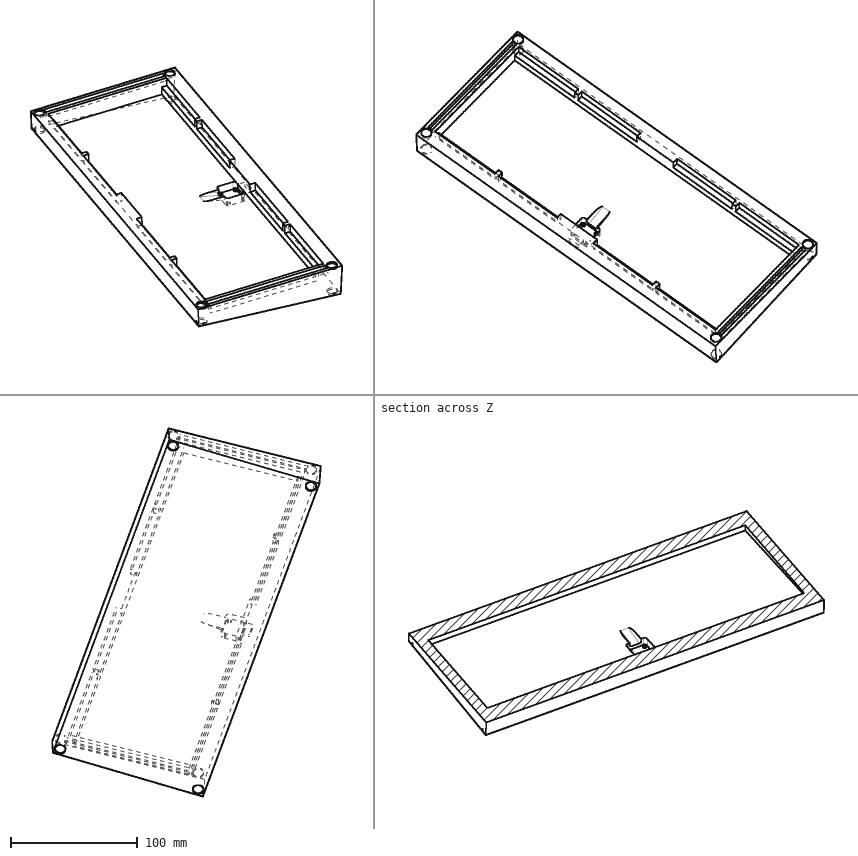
import cadquery as cq
import math

length = 306.0
depth = 126.0
back_height = 26.5
top_slope = 2.0
bottom_slope = 2.6
back_inset = 1.2
front_inset = 0.5

side_wall = 9.8
tray_length = length - 2 * side_wall
tray_back = 46.5
tray_front = -48.0
tray_depth = 14.5

ledge_width = 4.5
ledge_depth = 7.5
outer_ledge_end = tray_length / 2
outer_ledge_start = 82.5
inner_ledge_end = 78.7
inner_ledge_start = 18.7

magnet_diameter = 8.3
magnet_depth = 1.5
magnet_x = length / 2 - side_wall / 2
magnet_back = 56.3
magnet_front = -58.0
groove_width = 4.0
groove_depth = 4.5
groove_back = 51.5
groove_front = -53.0

board_length = 18.5
board_front = 30.0
board_back = tray_back
board_depth = 7.0
board_corner_radius = 2.3
boss_x = 6.9
boss_front = 32.5
boss_back = 45.5
boss_diameter = 3.5
boss_hole_diameter = 2.2
boss_height = 1.2

socket_width = 9.8
socket_height = 4.3
socket_length = 6.0

ramp_width = 10.5
ramp_front = 12.5
ramp_angle = 13.0
ramp_tool_height = 6.0

channel_edge_radius = 1.8

open_top = 3.0

back_y = depth / 2
front_y = -depth / 2


def sloped_plane(z_middle, slope):
    """Plane along X whose Y direction climbs toward the back by slope degrees."""
    angle = math.radians(slope)
    return cq.Plane((0, 0, z_middle), (1, 0, 0), (0, -math.sin(angle), math.cos(angle)))


def shifted(plane, offset):
    """The plane moved by an offset along its own directions."""
    return cq.Plane(plane.toWorldCoords(offset), plane.xDir, plane.zDir)


top_plane = sloped_plane(back_height - back_y * math.tan(math.radians(top_slope)), top_slope)
bottom_plane = sloped_plane((back_y - back_inset) * math.tan(math.radians(bottom_slope)), -bottom_slope)
floor_plane = shifted(top_plane, (0, 0, -tray_depth))


def block(plane, x_range, y_range, z_range):
    """Box given by its extents in the plane's own directions."""
    size = [high - low for low, high in (x_range, y_range, z_range)]
    corner = (x_range[0], y_range[0], z_range[0])
    return cq.Workplane(shifted(plane, corner)).box(*size, centered=False)


def wedge():
    front_top = back_height - depth * math.tan(math.radians(top_slope))
    bottom_run = depth - back_inset - front_inset
    front_bottom = bottom_run * math.tan(math.radians(bottom_slope))
    outline = [
        (back_y, back_height),
        (back_y - back_inset, 0),
        (front_y + front_inset, front_bottom),
        (front_y, front_top),
    ]
    return cq.Workplane("YZ").polyline(outline).close().extrude(length / 2, both=True)


def tray():
    x_limits = (-tray_length / 2, tray_length / 2)
    cut = block(top_plane, x_limits, (tray_front, tray_back), (-tray_depth, open_top))
    spans = [(inner_ledge_start, inner_ledge_end), (outer_ledge_start, outer_ledge_end)]
    for start, end in spans:
        for x_range in [(start, end), (-end, -start)]:
            y_range = (tray_front - ledge_width, tray_back + ledge_width)
            cut = cut.union(block(top_plane, x_range, y_range, (-ledge_depth, open_top)))
    return cut


def magnets(plane, direction):
    points = [(x, y) for x in (-magnet_x, magnet_x) for y in (magnet_front, magnet_back)]
    circles = cq.Workplane(plane).pushPoints(points).circle(magnet_diameter / 2)
    return circles.extrude(direction * magnet_depth)


def groove(x):
    x_range = (x - groove_width / 2, x + groove_width / 2)
    return block(top_plane, x_range, (groove_front, groove_back), (-groove_depth, open_top))


def board_recess():
    x_range = (-board_length / 2, board_length / 2)
    recess = block(floor_plane, x_range, (board_front, board_back), (-board_depth, 0))
    recess = recess.edges(cq.selectors.ParallelDirSelector(floor_plane.zDir)).fillet(board_corner_radius)
    bosses = (
        cq.Workplane(floor_plane)
        .workplane(offset=-board_depth)
        .pushPoints([(x, y) for x in (-boss_x, boss_x) for y in (boss_front, boss_back)])
        .circle(boss_diameter / 2)
        .circle(boss_hole_diameter / 2)
        .extrude(boss_height)
    )
    return recess.cut(bosses)


def round_bottomed_channel(plane, width, y_range, height):
    """Channel along the plane's Y direction, standing on the plane, with rounded lower edges."""
    channel = block(plane, (-width / 2, width / 2), y_range, (0, height))
    lengthwise = cq.selectors.ParallelDirSelector(plane.yDir)
    return channel.edges(lengthwise).edges("<Z").fillet(channel_edge_radius)


def socket_pocket():
    plane = shifted(floor_plane, (0, 0, -socket_height))
    y_range = (board_back - board_corner_radius, board_back + socket_length)
    return round_bottomed_channel(plane, socket_width, y_range, socket_height)


def plug_ramp():
    """Tilted channel that runs out at the tray floor."""
    start = floor_plane.toWorldCoords((0, ramp_front, 0))
    tilted = sloped_plane(0, top_slope - ramp_angle)
    plane = cq.Plane(start, tilted.xDir, tilted.zDir)
    run = (board_front - ramp_front) / math.cos(math.radians(ramp_angle))
    return round_bottomed_channel(plane, ramp_width, (0, run), ramp_tool_height)


result = wedge().cut(tray())
result = result.cut(magnets(top_plane, -1)).cut(magnets(bottom_plane, 1))
for x in (-magnet_x, magnet_x):
    result = result.cut(groove(x))
result = result.cut(board_recess()).cut(socket_pocket()).cut(plug_ramp())